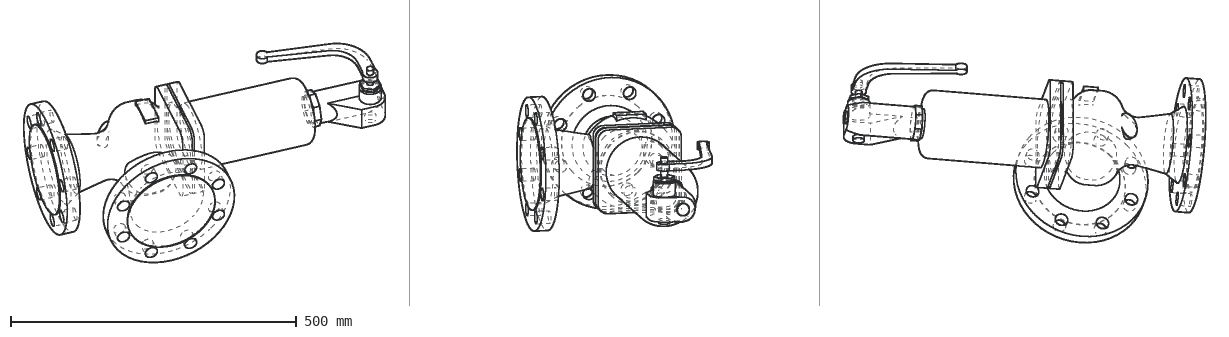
import cadquery as cq
import math


FACE_DISTANCE = 175.0
FLANGE_RADIUS = 117.5
FLANGE_THICKNESS = 26.0
RAISED_FACE_RADIUS = 81.0
RAISED_FACE_HEIGHT = 2.0
BOLT_CIRCLE_RADIUS = 95.0
BOLT_HOLE_RADIUS = 11.0
BOLT_COUNT = 8
FLANGE_BACK = FACE_DISTANCE - FLANGE_THICKNESS
HUB_RADIUS = 67.5

INLET_HUB_Y, INLET_HUB_RADIUS = -127.0, 53.0
THROAT_Y, THROAT_RADIUS = -74.5, 42.5
BOWL_RADIUS = 83.2
BOWL_LOWER_Y, BOWL_UPPER_Y = -3.0, 14.0
BOWL_LOWER_ARC_RADIUS = 38.5
BOWL_LOWER_ARC_END_Y = -38.5
BOWL_UPPER_ARC_RADIUS = 35.5
BOWL_UPPER_ARC_END_Y = 43.0
BODY_NECK_Y, BODY_NECK_RADIUS = 49.0, 63.5
BODY_COLLAR_RADIUS = 68.0

OUTLET_CONE_START_RADIUS = 34.0
OUTLET_HUB_X, OUTLET_HUB_RADIUS = 132.5, 59.5

DRAIN_RADIUS = 22.5
DRAIN_TILT = 40.0
DRAIN_FACE_CENTRE = (-56.5, -47.0)
DRAIN_LENGTH = 50.0

PLATE_WIDTH = 53.0
PLATE_LOWER_Y, PLATE_UPPER_Y = 2.5, 27.5
PLATE_TOP_Z = 86.0

SQUARE_SIDE = 149.5
SQUARE_CORNER_RADIUS = 18.0
BODY_SQUARE_Y = 55.0
BODY_SQUARE_THICKNESS = 18.0
GASKET_THICKNESS = 4.0
GASKET_RADIUS = 66.0
BONNET_SQUARE_Y = BODY_SQUARE_Y + BODY_SQUARE_THICKNESS + GASKET_THICKNESS
BONNET_SQUARE_THICKNESS = 18.5

BONNET_RADIUS = 60.0
BONNET_Y = BONNET_SQUARE_Y + BONNET_SQUARE_THICKNESS
BONNET_TOP_Y = 309.5
BONNET_EDGE_RADIUS = 15.0
COLLAR_RADIUS = 26.0
NUT_Y, NUT_TOP_Y = 314.5, 326.5
NUT_SIDES = 8
NUT_CORNER_RADIUS = 32.4
CAP_RADIUS = 28.7
CAP_CONE_Y = 418.0
CAP_TOP_Y = 444.5
CAP_TOP_RADIUS = 22.0
BUTTON_RADIUS = 11.0
TOP_Y = 448.5

PIVOT_X = 27.5
PIVOT_Y = CAP_CONE_Y
LUG_RADIUS = CAP_TOP_Y - PIVOT_Y
LUG_HALF_THICKNESS = 21.7
LUG_SHOULDER_Y = 393.0
LUG_FOOT_X, LUG_FOOT_Y = 18.0, 341.0
LOWER_BOSS_RADIUS = 10.0
LOWER_BOSS_Z = -28.5
BOSS_RADIUS, BOSS_TOP_Z = 19.5, 45.5
GLAND_RADIUS = 14.5
GLAND_NUT_Z, GLAND_NUT_TOP_Z = 48.5, 54.5
GLAND_NUT_SIDES = 6
GLAND_NUT_CORNER_RADIUS = 18.4
PIN_RADIUS, PIN_TOP_Z = 6.0, 88.5

LEVER_Z, LEVER_TOP_Z = 67.0, 78.5
LEVER_HEAD_RADIUS = 13.3
LEVER_HALF_WIDTH = 11.7
LEVER_BEND_X = -6.0
LEVER_OUTER_RADIUS, LEVER_OUTER_LEAN = 62.0, 7.7
LEVER_INNER_RADIUS, LEVER_INNER_LEAN = 45.5, 10.2
LEVER_KNOB_RADIUS = 10.5
LEVER_KNOB_X, LEVER_KNOB_Y = -78.5, 255.0


def y_plane(y):
    """Workplane normal to +Y at height y, with local axes along X and -Z."""
    return cq.Workplane("XZ", origin=(0, y, 0)).transformed(rotate=(180, 0, 0))


def y_cylinder(radius, y_start, y_end):
    return y_plane(y_start).circle(radius).extrude(y_end - y_start)


def pivot_cylinder(radius, z_start, z_end):
    """Cylinder about the lever pivot."""
    base = cq.Workplane("XY", origin=(PIVOT_X, PIVOT_Y, z_start))
    return base.circle(radius).extrude(z_end - z_start)


def pipe_flange():
    """Flange about the Z axis; its sealing face looks along +Z at FACE_DISTANCE."""
    disc_thickness = FLANGE_THICKNESS - RAISED_FACE_HEIGHT
    first_hole = 180.0 / BOLT_COUNT
    return (
        cq.Workplane("XY", origin=(0, 0, FLANGE_BACK))
        .circle(FLANGE_RADIUS)
        .extrude(disc_thickness)
        .faces(">Z")
        .workplane()
        .circle(RAISED_FACE_RADIUS)
        .extrude(RAISED_FACE_HEIGHT)
        .faces("<Z")
        .workplane()
        .polarArray(BOLT_CIRCLE_RADIUS, first_hole, 360, BOLT_COUNT)
        .circle(BOLT_HOLE_RADIUS)
        .cutThruAll()
    )


def inlet_and_bowl():
    """Inlet neck, bowl and body neck as one revolved outline."""
    lower_centre_r = BOWL_RADIUS - BOWL_LOWER_ARC_RADIUS
    lower_drop = BOWL_LOWER_Y - BOWL_LOWER_ARC_END_Y
    lower_end_r = lower_centre_r + math.sqrt(BOWL_LOWER_ARC_RADIUS**2 - lower_drop**2)
    upper_centre_r = BOWL_RADIUS - BOWL_UPPER_ARC_RADIUS
    upper_rise = BOWL_UPPER_ARC_END_Y - BOWL_UPPER_Y
    upper_end_r = upper_centre_r + math.sqrt(BOWL_UPPER_ARC_RADIUS**2 - upper_rise**2)
    outline = (
        cq.Workplane("XY")
        .moveTo(0, -FLANGE_BACK)
        .lineTo(HUB_RADIUS, -FLANGE_BACK)
        .lineTo(INLET_HUB_RADIUS, INLET_HUB_Y)
        .lineTo(THROAT_RADIUS, THROAT_Y)
        .tangentArcPoint((lower_end_r, BOWL_LOWER_ARC_END_Y), relative=False)
        .radiusArc((BOWL_RADIUS, BOWL_LOWER_Y), -BOWL_LOWER_ARC_RADIUS)
        .lineTo(BOWL_RADIUS, BOWL_UPPER_Y)
        .radiusArc((upper_end_r, BOWL_UPPER_ARC_END_Y), -BOWL_UPPER_ARC_RADIUS)
        .tangentArcPoint((BODY_NECK_RADIUS, BODY_NECK_Y), relative=False)
        .tangentArcPoint((BODY_COLLAR_RADIUS, BODY_SQUARE_Y), relative=False)
        .lineTo(0, BODY_SQUARE_Y)
        .close()
    )
    return outline.revolve(360, (0, 0, 0), (0, 1, 0))


def outlet_neck():
    return (
        cq.Workplane("XY")
        .lineTo(0, OUTLET_CONE_START_RADIUS)
        .lineTo(OUTLET_HUB_X, OUTLET_HUB_RADIUS)
        .lineTo(FLANGE_BACK, HUB_RADIUS)
        .lineTo(FLANGE_BACK, 0)
        .close()
        .revolve(360, (0, 0, 0), (1, 0, 0))
    )


def drain_boss():
    tilt = math.radians(DRAIN_TILT)
    inward = (math.cos(tilt), math.sin(tilt), 0)
    face = cq.Plane(origin=(*DRAIN_FACE_CENTRE, 0), xDir=(0, 0, 1), normal=inward)
    return cq.Workplane(face).circle(DRAIN_RADIUS).extrude(DRAIN_LENGTH)


def name_plate():
    depth = PLATE_UPPER_Y - PLATE_LOWER_Y
    middle_y = (PLATE_UPPER_Y + PLATE_LOWER_Y) / 2
    return cq.Workplane("XY", origin=(0, middle_y, 0)).rect(PLATE_WIDTH, depth).extrude(PLATE_TOP_Z)


def square_flange(y_start, thickness):
    block = y_plane(y_start).rect(SQUARE_SIDE, SQUARE_SIDE).extrude(thickness)
    return block.edges("|Y").fillet(SQUARE_CORNER_RADIUS)


def bonnet():
    shell = y_cylinder(BONNET_RADIUS, BONNET_Y, BONNET_TOP_Y)
    return shell.faces(">Y").edges().fillet(BONNET_EDGE_RADIUS)


def cap():
    cap_body = (
        cq.Workplane("XY")
        .moveTo(0, NUT_Y)
        .lineTo(CAP_RADIUS, NUT_Y)
        .lineTo(CAP_RADIUS, CAP_CONE_Y)
        .lineTo(CAP_TOP_RADIUS, CAP_TOP_Y)
        .lineTo(BUTTON_RADIUS, CAP_TOP_Y)
        .lineTo(BUTTON_RADIUS, TOP_Y)
        .lineTo(0, TOP_Y)
        .close()
        .revolve(360, (0, 0, 0), (0, 1, 0))
    )
    nut = y_plane(NUT_Y).polygon(NUT_SIDES, 2 * NUT_CORNER_RADIUS).extrude(NUT_TOP_Y - NUT_Y)
    collar = y_cylinder(COLLAR_RADIUS, BONNET_TOP_Y, NUT_Y)
    return cap_body.union(nut).union(collar)


def lever_lug():
    """Flat lug on the +X side of the cap, with a quarter-round outer corner."""
    right_x = PIVOT_X + LUG_RADIUS
    return (
        cq.Workplane("XY", origin=(0, 0, -LUG_HALF_THICKNESS))
        .moveTo(0, CAP_TOP_Y)
        .lineTo(PIVOT_X, CAP_TOP_Y)
        .radiusArc((right_x, PIVOT_Y), LUG_RADIUS)
        .lineTo(right_x, LUG_SHOULDER_Y)
        .lineTo(LUG_FOOT_X, LUG_FOOT_Y)
        .lineTo(0, LUG_FOOT_Y)
        .close()
        .extrude(2 * LUG_HALF_THICKNESS)
    )


def lever_bearing():
    """Stack of round and hexagonal parts about the lever pivot."""
    gland_nut = (
        cq.Workplane("XY", origin=(PIVOT_X, PIVOT_Y, GLAND_NUT_Z))
        .polygon(GLAND_NUT_SIDES, 2 * GLAND_NUT_CORNER_RADIUS)
        .extrude(GLAND_NUT_TOP_Z - GLAND_NUT_Z)
    )
    return (
        pivot_cylinder(LOWER_BOSS_RADIUS, LOWER_BOSS_Z, 0)
        .union(pivot_cylinder(BOSS_RADIUS, 0, BOSS_TOP_Z))
        .union(pivot_cylinder(GLAND_RADIUS, 0, GLAND_NUT_Z))
        .union(gland_nut)
        .union(pivot_cylinder(PIN_RADIUS, 0, PIN_TOP_Z))
    )


def bend_end(edge_y, radius, lean):
    """End of a lever edge's bend, which leaves +Y by the lean angle in degrees."""
    angle = math.radians(lean)
    x = LEVER_BEND_X - radius * math.cos(angle)
    y = edge_y - radius + radius * math.sin(angle)
    return x, y


def run_down(start, lean):
    """Point reached from a bend end along its straight edge at knob height."""
    drop = start[1] - LEVER_KNOB_Y
    return start[0] - drop * math.tan(math.radians(lean)), LEVER_KNOB_Y


def lever():
    thickness = LEVER_TOP_Z - LEVER_Z
    outer_y = PIVOT_Y + LEVER_HALF_WIDTH
    inner_y = PIVOT_Y - LEVER_HALF_WIDTH
    outer_end = bend_end(outer_y, LEVER_OUTER_RADIUS, LEVER_OUTER_LEAN)
    inner_end = bend_end(inner_y, LEVER_INNER_RADIUS, LEVER_INNER_LEAN)
    arm = (
        cq.Workplane("XY", origin=(0, 0, LEVER_Z))
        .moveTo(PIVOT_X, outer_y)
        .lineTo(LEVER_BEND_X, outer_y)
        .radiusArc(outer_end, -LEVER_OUTER_RADIUS)
        .lineTo(*run_down(outer_end, LEVER_OUTER_LEAN))
        .lineTo(*run_down(inner_end, LEVER_INNER_LEAN))
        .lineTo(*inner_end)
        .radiusArc((LEVER_BEND_X, inner_y), LEVER_INNER_RADIUS)
        .lineTo(PIVOT_X, inner_y)
        .close()
        .extrude(thickness)
    )
    knob = (
        cq.Workplane("XY", origin=(LEVER_KNOB_X, LEVER_KNOB_Y, LEVER_Z))
        .circle(LEVER_KNOB_RADIUS)
        .extrude(thickness)
    )
    head = pivot_cylinder(LEVER_HEAD_RADIUS, LEVER_Z, LEVER_TOP_Z)
    return arm.union(knob).union(head)


inlet_flange = pipe_flange().rotate((0, 0, 0), (1, 0, 0), 90)
outlet_flange = pipe_flange().rotate((0, 0, 0), (0, 1, 0), 90)

result = (
    inlet_and_bowl()
    .union(outlet_neck())
    .union(drain_boss())
    .union(name_plate())
    .union(inlet_flange)
    .union(outlet_flange)
    .union(square_flange(BODY_SQUARE_Y, BODY_SQUARE_THICKNESS))
    .union(y_cylinder(GASKET_RADIUS, BODY_SQUARE_Y, BONNET_Y))
    .union(square_flange(BONNET_SQUARE_Y, BONNET_SQUARE_THICKNESS))
    .union(bonnet())
    .union(cap())
    .union(lever_lug())
    .union(lever_bearing())
    .union(lever())
)